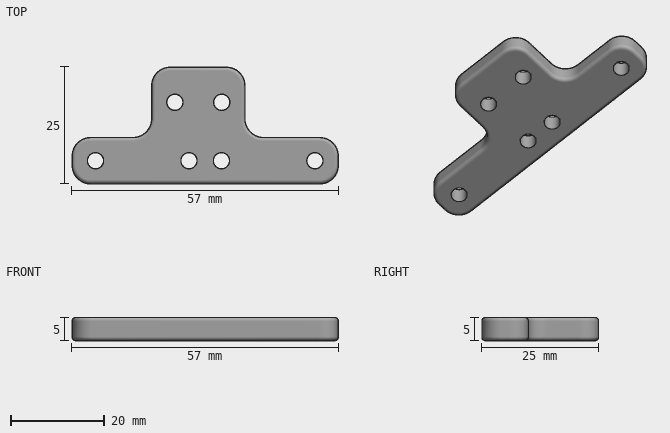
import cadquery as cq

length = 57.0
depth = 25.0
thickness = 5.0

bar_depth = 10.0
tower_width = 20.0
tower_center_x = -1.5
corner_radius = 4.0
edge_radius = 0.8

hole_diameter = 3.4
end_hole_inset = 5.0
lower_hole_offset = 3.5
upper_hole_offset = 5.0
lower_row_y = bar_depth / 2
upper_row_y = 17.5


def plate():
    """T-shaped plate with rounded outline corners and rounded rims."""
    bar = cq.Workplane("XY").box(length, bar_depth, thickness, centered=(True, False, True))
    tower = (
        cq.Workplane("XY")
        .box(tower_width, depth, thickness, centered=(True, False, True))
        .translate((tower_center_x, 0, 0))
    )
    body = bar.union(tower).clean()
    body = body.edges("|Z").fillet(corner_radius)
    return body.faces("<Z or >Z").edges().fillet(edge_radius)


def hole_cutters():
    """Cylinders for the bar row and for the pair centred on the tower."""
    end_x = length / 2 - end_hole_inset
    lower_row = [(x, lower_row_y) for x in (-end_x, -lower_hole_offset, lower_hole_offset, end_x)]
    upper_row = [(tower_center_x + side * upper_hole_offset, upper_row_y) for side in (-1, 1)]
    return (
        cq.Workplane("XY")
        .pushPoints(lower_row + upper_row)
        .circle(hole_diameter / 2)
        .extrude(thickness, both=True)
    )


result = plate().cut(hole_cutters())